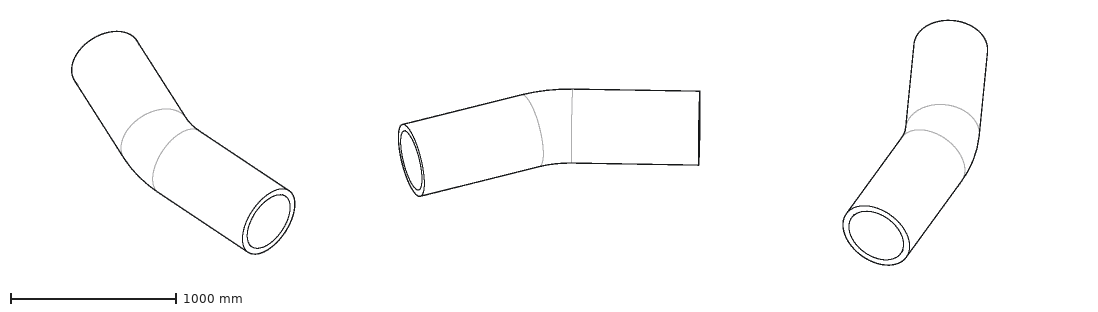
import cadquery as cq
import math

overall_length = 1819.0
outer_diameter = 450.0
inner_diameter = 367.0
bend_angle = 22.0
bend_radius = 1.5 * outer_diameter

angle = math.radians(bend_angle)
elbow_run = bend_radius * math.sin(angle)
end_face_overhang = outer_diameter / 2 * math.sin(angle)
leg_length = (overall_length - elbow_run - end_face_overhang) / (1 + math.cos(angle))

elbow_start = (leg_length, 0)
elbow_middle = (
    leg_length + bend_radius * math.sin(angle / 2),
    bend_radius * (1 - math.cos(angle / 2)),
)
elbow_end = (leg_length + elbow_run, bend_radius * (1 - math.cos(angle)))
pipe_end = (
    elbow_end[0] + leg_length * math.cos(angle),
    elbow_end[1] + leg_length * math.sin(angle),
)

centreline = (
    cq.Workplane("XY")
    .lineTo(*elbow_start)
    .threePointArc(elbow_middle, elbow_end)
    .lineTo(*pipe_end)
)

result = (
    cq.Workplane("YZ")
    .circle(outer_diameter / 2)
    .circle(inner_diameter / 2)
    .sweep(centreline)
)